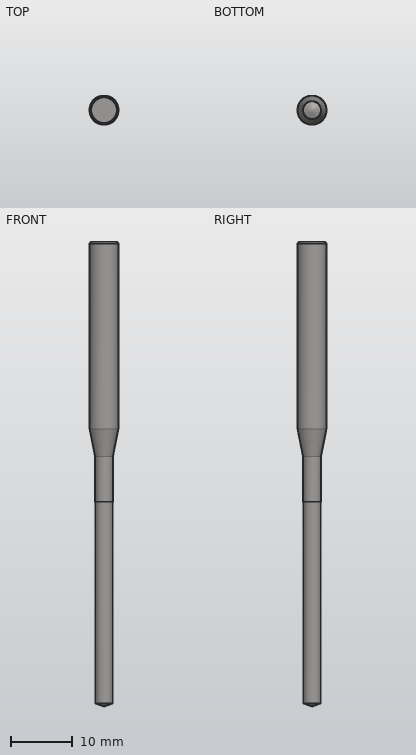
import cadquery as cq
import math

total_length = 75.3

shank_radius = 4.75 / 2
shank_length = 30.3
top_chamfer = 0.3
taper_length = 4.5
neck_radius = 2.9 / 2
neck_length = 7.3

drill_radius = 2.85 / 2
point_angle = 140.0
point_height = drill_radius / math.tan(math.radians(point_angle / 2))

taper_top = total_length - shank_length
neck_top = taper_top - taper_length
joint_height = neck_top - neck_length


def make_shank():
    """Shank, taper and neck turned about Z, ending in a flat face at the joint."""
    return (
        cq.Workplane("YZ")
        .moveTo(0, joint_height)
        .lineTo(-neck_radius, joint_height)
        .lineTo(-neck_radius, neck_top)
        .lineTo(-shank_radius, taper_top)
        .lineTo(-shank_radius, total_length - top_chamfer)
        .lineTo(-shank_radius + top_chamfer, total_length)
        .lineTo(0, total_length)
        .close()
        .revolve(360, (0, 0, 0), (0, 1, 0))
    )


def make_drill():
    """Drill rod turned about Z, with its tip at the origin and its flat end on the neck."""
    return (
        cq.Workplane("XZ")
        .lineTo(-drill_radius, point_height)
        .lineTo(-drill_radius, joint_height)
        .lineTo(0, joint_height)
        .close()
        .revolve(360, (0, 0, 0), (0, 1, 0))
    )


shank = make_shank()
drill = make_drill()

result = cq.Compound.makeCompound([shank.val(), drill.val()])